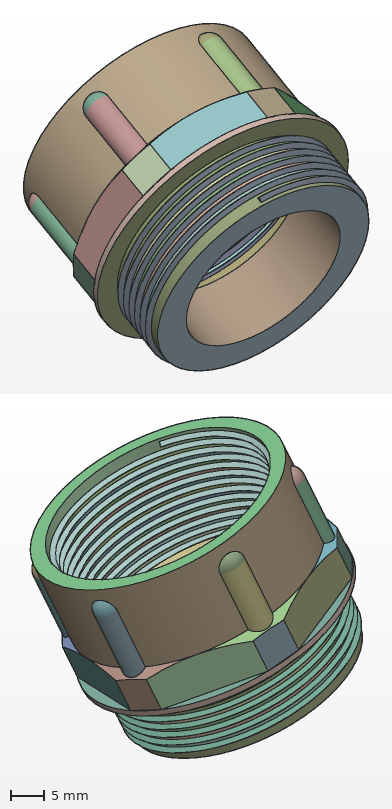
import cadquery as cq
import math

sleeve_end = 15.02
hex_end = 21.95
flange_end = 22.95
total_length = 34.0

sleeve_dia = 42.0
flange_dia = 45.55
male_dia = 38.35
across_flats = sleeve_dia
corner_flats = 45.1
hex_chamfer_angle = 33.0

socket_dia = 36.95
socket_depth = 18.95
funnel_end = 22.2
funnel_mouth_dia = 35.35
throat_dia = 27.9

rib_count = 6
rib_radius = 2.55
rib_axis_radius = 19.75
rib_start = 4.25
rib_end = 16.4

pitch = 1.5
ridge_height = 0.77
ridge_base = 1.0
ridge_root_overlap = 0.1
male_thread_start = 23.65
male_thread_turns = 6.2
male_thread_angle = 18.0
socket_thread_start = 1.0
socket_thread_turns = 12.2
socket_thread_angle = 90.0


def disc(diameter, start, end):
    """Solid cylinder on the X axis between two stations."""
    return cq.Workplane("YZ", origin=(start, 0, 0)).circle(diameter / 2).extrude(end - start)


def hex_bar(flats, flat_angle):
    """Hexagonal bar on the X axis with one flat facing flat_angle, from +Y towards +Z."""
    bar = (
        cq.Workplane("YZ", origin=(sleeve_end, 0, 0))
        .polygon(6, flats, circumscribed=True)
        .extrude(hex_end - sleeve_end)
    )
    return bar.rotate((0, 0, 0), (1, 0, 0), flat_angle)


def hexagon():
    """Hexagon with cut-off corners and a conical chamfer on its sleeve side."""
    bar = hex_bar(across_flats, 90).intersect(hex_bar(corner_flats, 0))
    cone_growth = (hex_end - sleeve_end) / math.tan(math.radians(hex_chamfer_angle))
    cone = (
        cq.Workplane("XY")
        .moveTo(sleeve_end, 0)
        .lineTo(sleeve_end, sleeve_dia / 2)
        .lineTo(hex_end, sleeve_dia / 2 + cone_growth)
        .lineTo(hex_end, 0)
        .close()
        .revolve(360, (0, 0, 0), (1, 0, 0))
    )
    return bar.intersect(cone)


def rib(angle):
    """Round rib with a domed end, half sunk in the sleeve."""
    dome_center = (rib_start, rib_axis_radius, 0)
    shaft = cq.Workplane("YZ", origin=dome_center).circle(rib_radius).extrude(rib_end - rib_start)
    dome = cq.Workplane("XY", origin=dome_center).sphere(rib_radius)
    return shaft.union(dome).rotate((0, 0, 0), (1, 0, 0), angle)


def bore():
    """Socket, flat shoulder and funnel narrowing to the straight throat."""
    return (
        cq.Workplane("XY")
        .lineTo(0, socket_dia / 2)
        .lineTo(socket_depth, socket_dia / 2)
        .lineTo(socket_depth, funnel_mouth_dia / 2)
        .lineTo(funnel_end, throat_dia / 2)
        .lineTo(total_length, throat_dia / 2)
        .lineTo(total_length, 0)
        .close()
        .revolve(360, (0, 0, 0), (1, 0, 0))
    )


def thread(surface_radius, outward, start, turns, start_angle):
    """Right-handed triangular ridge; outward is 1 for a shaft and -1 for a bore."""
    root = surface_radius - outward * ridge_root_overlap
    tip = surface_radius + outward * ridge_height
    half_root = ridge_base / 2 * (1 + ridge_root_overlap / ridge_height)
    path = cq.Wire.makeHelix(pitch, turns * pitch, surface_radius)
    ridge = (
        cq.Workplane("XZ")
        .polyline([(root, -half_root), (tip, 0), (root, half_root)])
        .close()
        .sweep(cq.Workplane(path), isFrenet=True)
    )
    along_x = ridge.rotate((0, 0, 0), (0, 1, 0), 90)
    return along_x.rotate((0, 0, 0), (1, 0, 0), start_angle + 90).translate((start, 0, 0))


body = disc(sleeve_dia, 0, sleeve_end)
body = body.union(hexagon())
body = body.union(disc(flange_dia, hex_end, flange_end))
body = body.union(disc(male_dia, flange_end, total_length))
for i in range(rib_count):
    body = body.union(rib(i * 360 / rib_count))
body = body.cut(bore())
body = body.union(thread(male_dia / 2, 1, male_thread_start, male_thread_turns, male_thread_angle))
body = body.union(
    thread(socket_dia / 2, -1, socket_thread_start, socket_thread_turns, socket_thread_angle)
)

result = body